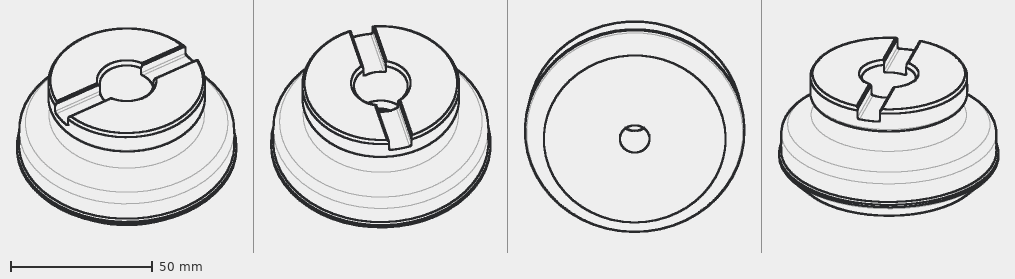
import cadquery as cq
import math

height = 40.0
rim_radius = 38.9

bottom_radius = 32.2
cone_height = 6.1
rim_low_z = 7.0
rim_high_z = 7.9
rim_top_z = 8.7

body_radius = 38.1
shoulder_fillet = 3.9
slope = math.radians(25)

neck_radius = 24.9
neck_z = 27.5
neck_arc = 4.6
neck_top_z = 30.9

head_radius = 55.6 / 2
head_low_z = 32.3
head_low_rounding = 1.5
head_chamfer_width = 0.8
head_chamfer_height = 1.3

bore_diameter = 19.05
bore_depth = 20.0
bore_chamfer_width = 1.0
bore_chamfer_height = 1.55
hole_diameter = 10.5
hole_chamfer = 0.5

slot_width = 8.2
slot_depth = 4.7
slot_bottom_fillet = 0.7
slot_edge_chamfer = 0.55


def make_body():
    """Solid of revolution: cone, rim, shoulder, neck and head."""
    neck_center = neck_radius + neck_arc
    neck_end_r = neck_center - neck_arc * math.sin(slope)
    neck_end_z = neck_z - neck_arc * math.cos(slope)
    neck_rise = neck_top_z - neck_z
    neck_top_r = neck_center - math.sqrt(neck_arc**2 - neck_rise**2)

    fillet_center_r = body_radius - shoulder_fillet
    fillet_top_r = fillet_center_r + shoulder_fillet * math.sin(slope)
    fillet_top_z = neck_end_z - (fillet_top_r - neck_end_r) * math.tan(slope)
    fillet_center_z = fillet_top_z - shoulder_fillet * math.cos(slope)
    middle = (slope + math.pi / 2) / 2
    fillet_middle = (
        fillet_center_r + shoulder_fillet * math.sin(middle),
        fillet_center_z + shoulder_fillet * math.cos(middle),
    )

    return (
        cq.Workplane("XZ")
        .lineTo(bottom_radius, 0)
        .lineTo(bottom_radius + cone_height, cone_height)
        .lineTo(rim_radius, rim_low_z)
        .lineTo(rim_radius, rim_high_z)
        .lineTo(body_radius, rim_top_z)
        .lineTo(body_radius, fillet_center_z)
        .threePointArc(fillet_middle, (fillet_top_r, fillet_top_z))
        .lineTo(neck_end_r, neck_end_z)
        .threePointArc((neck_radius, neck_z), (neck_top_r, neck_top_z))
        .radiusArc((head_radius, head_low_z), -head_low_rounding)
        .lineTo(head_radius, height - head_chamfer_height)
        .lineTo(head_radius - head_chamfer_width, height)
        .lineTo(0, height)
        .close()
        .revolve(360, (0, 0, 0), (0, 1, 0))
    )


def make_bore():
    """Through hole and larger upper bore, both with chamfered mouths."""
    hole_radius = hole_diameter / 2
    bore_radius = bore_diameter / 2
    floor_z = height - bore_depth
    return (
        cq.Workplane("XZ")
        .lineTo(hole_radius, 0)
        .lineTo(hole_radius, floor_z - hole_chamfer)
        .lineTo(hole_radius + hole_chamfer, floor_z)
        .lineTo(bore_radius, floor_z)
        .lineTo(bore_radius, height - bore_chamfer_height)
        .lineTo(bore_radius + bore_chamfer_width, height)
        .lineTo(0, height)
        .close()
        .revolve(360, (0, 0, 0), (0, 1, 0))
    )


def make_slot():
    """Slot across the head: rounded floor corners and chamfered top edges."""
    half_width = slot_width / 2
    floor_z = height - slot_depth
    length = 2 * head_radius
    channel = (
        cq.Workplane("XY")
        .box(slot_width, length, slot_depth, centered=(True, True, False))
        .edges("|Y and <Z")
        .fillet(slot_bottom_fillet)
        .translate((0, 0, floor_z))
    )
    mouth = (
        cq.Workplane("XZ")
        .polyline([
            (-half_width, height - slot_edge_chamfer),
            (half_width, height - slot_edge_chamfer),
            (half_width + slot_edge_chamfer, height),
            (-half_width - slot_edge_chamfer, height),
        ])
        .close()
        .extrude(length / 2, both=True)
    )
    return channel.union(mouth)


result = make_body().cut(make_bore()).cut(make_slot())